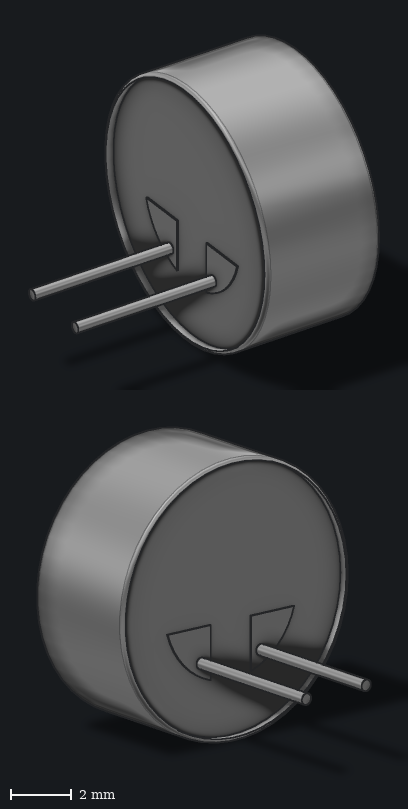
import cadquery as cq
import math

case_diameter = 9.7
case_length = 4.51
rim_radius = 0.15

board_radius = case_diameter / 2 - rim_radius
board_depth = 0.3
board_thickness = 0.3

pad_height = 0.05
pad_arc_radius = 2.8
pad_inner_x = 0.86
pad_top_z = -0.77

overall_length = 9.71
pin_diameter = 0.4
pin_x = 1.27
pin_z = -2.0
pin_length = overall_length - case_length + board_depth


def make_case():
    """Cylinder with rounded rims and a round recess that seats the board."""
    body = cq.Workplane("XZ").circle(case_diameter / 2).extrude(-case_length)
    body = body.faces("<Y or >Y").edges().fillet(rim_radius)
    recess = cq.Workplane("XZ").circle(board_radius).extrude(-(board_depth + board_thickness))
    return body.cut(recess)


def board_face():
    """Workplane on the outer face of the board, with its normal along -Y."""
    return cq.Workplane("XZ", origin=(0, board_depth, 0))


def make_pad(side):
    """Raised pad on one side of the YZ plane: side is -1 or 1."""
    outer_x = math.sqrt(pad_arc_radius**2 - pad_top_z**2)
    bottom_z = -math.sqrt(pad_arc_radius**2 - pad_inner_x**2)
    arc_middle = pad_arc_radius * math.sqrt(0.5)
    return (
        board_face()
        .moveTo(side * pad_inner_x, pad_top_z)
        .lineTo(side * outer_x, pad_top_z)
        .threePointArc((side * arc_middle, -arc_middle), (side * pad_inner_x, bottom_z))
        .close()
        .extrude(pad_height)
    )


def make_pin(side):
    """Straight round pin standing on the board through its pad."""
    return board_face().center(side * pin_x, pin_z).circle(pin_diameter / 2).extrude(pin_length)


def make_terminal_board():
    """Round board carrying a pad and a pin on each side."""
    board = board_face().circle(board_radius).extrude(-board_thickness)
    for side in (-1, 1):
        board = board.union(make_pad(side)).union(make_pin(side))
    return board


case = make_case()
terminal_board = make_terminal_board()

result = cq.Compound.makeCompound([*case.solids().vals(), *terminal_board.solids().vals()])